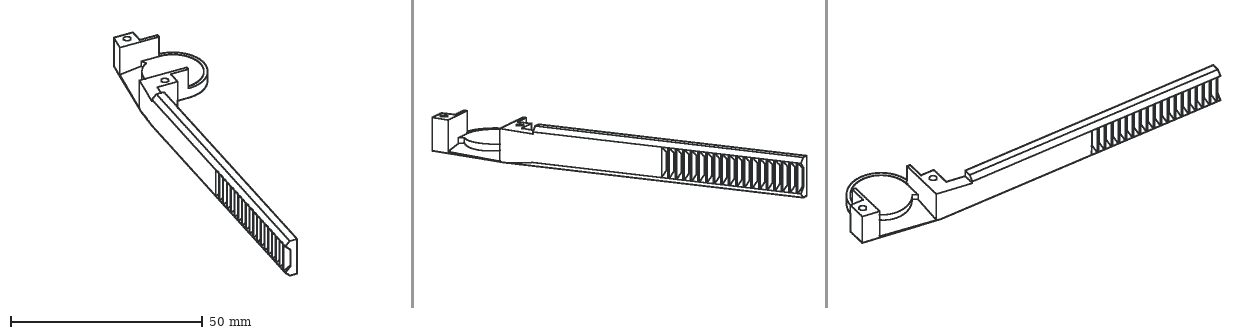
import cadquery as cq
import math

total_length = 109.7
bar_start = 31.6
bar_thickness = 3.5
bar_height = 10.9
bar_chamfer = 1.3

rack_module = 0.7
pocket_count = 19
pocket_pitch = math.pi * rack_module
pocket_depth = 2.25 * rack_module
tooth_tip_width = 0.4
mouth_width = pocket_pitch - tooth_tip_width
floor_width = 0.7
mouth_height = bar_height - 2 * bar_chamfer
floor_height = mouth_height - 2 * pocket_depth

depth = 24.5
head_height = 9.0
head_width = 26.2
head_center_x = head_width / 2
outer_radius = 9.1
disc_radius = 8.1
head_center_y = depth - outer_radius
ear_back_y = 10.2
head_front_y = 4.6
front_slope = head_front_y / bar_start
rim_height = 3.0
disc_top = 2.9

ramp_slope = 0.13
ledge_angle = math.radians(33)

hole_diameter = 2.0
hole_spacing = 22.2
hole_y = 7.5

clearance = 1.1


def make_bar():
    """Bar with both long front edges chamfered."""
    profile = [
        (bar_thickness, 0),
        (bar_chamfer, 0),
        (0, bar_chamfer),
        (0, bar_height - bar_chamfer),
        (bar_chamfer, bar_height),
        (bar_thickness, bar_height),
    ]
    bar = cq.Workplane("YZ", origin=(bar_start, 0, 0)).polyline(profile).close()
    return bar.extrude(total_length - bar_start)


def make_pocket(center_x):
    """Tooth gap that narrows on all four sides towards its floor."""
    return (
        cq.Workplane("XZ", origin=(center_x, 0, bar_height / 2))
        .rect(mouth_width, mouth_height)
        .workplane(offset=-pocket_depth)
        .rect(floor_width, floor_height)
        .loft(ruled=True)
    )


def make_head():
    """Full-height head and the slanted link that joins it to the bar."""
    left_wall = head_center_x - outer_radius
    right_wall = head_center_x + outer_radius
    link_back_y = bar_thickness + front_slope * (bar_start - head_width)
    return (
        cq.Workplane("XY")
        .moveTo(0, head_front_y)
        .lineTo(bar_start, 0)
        .lineTo(bar_start, bar_thickness)
        .lineTo(head_width, link_back_y)
        .lineTo(head_width, ear_back_y)
        .lineTo(right_wall, ear_back_y)
        .lineTo(right_wall, head_center_y)
        .threePointArc((head_center_x, depth), (left_wall, head_center_y))
        .lineTo(left_wall, ear_back_y)
        .lineTo(0, ear_back_y)
        .close()
        .extrude(head_height)
    )


def make_cradle_cut():
    """Space above the rim and between the side walls, with a round back."""
    above_rim = (
        cq.Workplane("XY", origin=(head_center_x, head_center_y, rim_height))
        .rect(2 * outer_radius, 2 * outer_radius)
        .extrude(head_height)
        .intersect(
            cq.Workplane("XY", origin=(head_center_x, head_center_y + outer_radius, 0))
            .rect(2 * outer_radius, 2 * outer_radius)
            .extrude(2 * head_height)
        )
    )
    seat = cq.Workplane("XY", origin=(head_center_x, head_center_y, disc_top))
    round_seat = seat.circle(disc_radius).extrude(head_height)
    open_front = (
        seat.center(0, -head_center_y / 2)
        .rect(2 * disc_radius, head_center_y)
        .extrude(head_height)
    )
    return above_rim.union(round_seat).union(open_front)


def make_ramp_cut():
    """Space in front of the disc, above a floor that falls towards the front."""
    ledge_drop = disc_radius * math.tan(ledge_angle)
    outline = [
        (0, 0),
        (disc_radius, -ledge_drop),
        (disc_radius, -head_center_y),
        (-disc_radius, -head_center_y),
        (-disc_radius, -ledge_drop),
    ]
    center = cq.Workplane("XY", origin=(head_center_x, head_center_y, 0))
    region = center.polyline(outline).close().extrude(head_height)
    disc = center.circle(disc_radius).extrude(head_height)
    above_ramp = (
        cq.Workplane("YZ")
        .moveTo(0, 0)
        .lineTo(depth, ramp_slope * depth)
        .lineTo(depth, head_height)
        .lineTo(0, head_height)
        .close()
        .extrude(head_width)
    )
    return region.cut(disc).intersect(above_ramp)


def make_link_chamfer():
    """Lower chamfer of the bar continued under the link."""
    profile = [(0, 0), (bar_chamfer, 0), (0, bar_chamfer)]
    return cq.Workplane("YZ").polyline(profile).close().extrude(bar_start)


def make_ear_holes():
    """Vertical screw holes, one in each ear."""
    half_spacing = hole_spacing / 2
    return (
        cq.Workplane("XY", origin=(head_center_x, hole_y, -clearance))
        .pushPoints([(-half_spacing, 0), (half_spacing, 0)])
        .circle(hole_diameter / 2)
        .extrude(head_height + 2 * clearance)
    )


head = make_head().cut(make_cradle_cut()).cut(make_ramp_cut())
head = head.cut(make_link_chamfer()).cut(make_ear_holes())

bar = make_bar()
for index in range(pocket_count):
    bar = bar.cut(make_pocket(total_length - index * pocket_pitch))

result = head.union(bar)